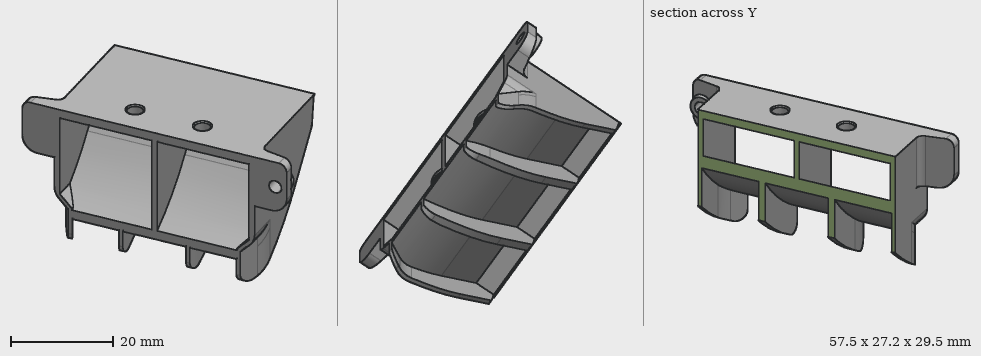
import cadquery as cq
import math


half_width = 21.75
wall = 1.2
roof = 1.9
floor_thickness = 1.8
total_height = 29.45
mouth_bottom = 22.1
inner_half_width = half_width - wall

roof_length = 27.2
lip_height = 0.4
lip_overhang = 0.45
back_corner_y = 25.95
back_corner_depth = 6.6
slope_angle = math.radians(51.5)
bowl_radius = 51.2
bowl_y = -21.6
bowl_z = 15.75
foot_radius = 1.9

floor_radius = math.hypot(bowl_y, mouth_bottom + bowl_z)
underside_radius = floor_radius + floor_thickness

corner_depth = 17.7
corner_radius = 3.45
corner_angle = math.radians(45)
skirt_start = 6.8
skirt_radius = 6.5
skirt_angle = math.radians(32)
skirt_thickness = 0.9
mouth_chamfer = 2.65
mouth_chamfer_depth = 19.1

rib_inner = 6.85
rib_front_width = 0.85
rib_width = 1.55
rib_taper_length = 5.2

ear_reach = 28.7
ear_height = 11.1
ear_tip_thickness = 2.1
ear_root_thickness = 3.5
ear_root_fillet = 1.5
ear_top_radius = 1.7
ear_bottom_radius = 3.35
ear_hole_diameter = 2.7
ear_hole_x = 26.2
ear_hole_depth = 5.6
ear_boss_top_radius = 2.35
ear_boss_base_radius = 2.6

roof_hole_diameter = 3.3
roof_hole_chamfer = 0.3
roof_hole_x = 7.3
roof_hole_y = 6.5
roof_boss_height = 1.25
roof_boss_top_radius = 3.6
roof_boss_bottom_radius = 3.45

margin = 5.75


def mirrored(solid):
    return solid.union(solid.mirror("YZ"))


def bowl_point(radius, angle):
    """Point (Y, Z) on a bowl arc; the angle is the slope of the arc there."""
    return (bowl_y + radius * math.sin(angle), bowl_z - radius * math.cos(angle))


def bowl_angle(radius, y):
    return math.asin((y - bowl_y) / radius)


def along_slope(start, y):
    """Point at the given Y on the straight slope leaving the bowl arc at start."""
    return (y, start[1] + (y - start[0]) * math.tan(slope_angle))


def draw_bowl(sketch, radius):
    """Draw a bowl arc from the front face to the straight slope."""
    front_angle = bowl_angle(radius, 0)
    middle = bowl_point(radius, (front_angle + slope_angle) / 2)
    return (
        sketch.lineTo(*bowl_point(radius, front_angle))
        .threePointArc(middle, bowl_point(radius, slope_angle))
    )


def side_outline():
    """Full-width solid with the outer side outline."""
    return (
        draw_bowl(cq.Workplane("YZ").moveTo(0, 0), bowl_radius)
        .lineTo(back_corner_y, -back_corner_depth)
        .lineTo(roof_length - lip_overhang, -lip_height)
        .lineTo(roof_length, 0)
        .close()
        .extrude(half_width, both=True)
        .edges("|X and <Z")
        .fillet(foot_radius)
    )


def above_bowl(radius):
    """Everything in front of and above a bowl surface."""
    end = bowl_point(radius, slope_angle)
    top = along_slope(end, roof_length)
    return (
        draw_bowl(cq.Workplane("YZ").moveTo(0, margin), radius)
        .lineTo(*top)
        .lineTo(roof_length, margin)
        .close()
        .extrude(half_width, both=True)
    )


def turned_in(sketch, x, start, end, radius, angle):
    """Run a sketch down from start to end, turning in from X by an arc and a straight."""
    def arc_point(turn):
        return (x - radius * (1 - math.cos(turn)), start - radius * math.sin(turn))

    arc_x, arc_end = arc_point(angle)
    return (
        sketch.lineTo(x, start)
        .threePointArc(arc_point(angle / 2), (arc_x, arc_end))
        .lineTo(arc_x - (arc_end - end) * math.tan(angle), end)
    )


def tray_section():
    """Housing cross-section with turned-in lower corners, run along Y."""
    bottom = -mouth_bottom - floor_thickness
    half = turned_in(
        cq.Workplane("XZ").lineTo(half_width, 0),
        half_width, -corner_depth, bottom, corner_radius, corner_angle,
    )
    return mirrored(half.lineTo(0, bottom).close().extrude(-roof_length))


def skirt_plan(x):
    """Solid between side faces at -x and +x that turn in towards the front."""
    half = turned_in(
        cq.Workplane("XY").moveTo(0, roof_length).lineTo(x, roof_length),
        x, skirt_start, 0, skirt_radius, skirt_angle,
    )
    return mirrored(half.lineTo(0, 0).close().extrude(-total_height - margin))


def ribs():
    """Two upright ribs whose outer face bows in to a thinner front edge."""
    outer = rib_inner + rib_width
    taper_middle = rib_width - (rib_width - rib_front_width) / 4
    plan = (
        cq.Workplane("XY")
        .moveTo(rib_inner, 0)
        .lineTo(rib_inner + rib_front_width, 0)
        .threePointArc((rib_inner + taper_middle, rib_taper_length / 2), (outer, rib_taper_length))
        .lineTo(outer, roof_length)
        .lineTo(rib_inner, roof_length)
        .close()
    )
    return mirrored(plan.extrude(-total_height - margin))


def cavities():
    """The two chambers, closed at the bottom by the curved floor."""
    inner_x = wall / 2
    half = (
        cq.Workplane("XZ")
        .moveTo(inner_x, -roof)
        .lineTo(inner_half_width, -roof)
        .lineTo(inner_half_width, -mouth_chamfer_depth)
        .lineTo(inner_half_width - mouth_chamfer, -mouth_chamfer_depth - mouth_chamfer)
        .lineTo(inner_half_width - mouth_chamfer, -mouth_bottom)
        .lineTo(inner_x, -mouth_bottom)
        .close()
        .extrude(-roof_length)
    )
    return mirrored(half).intersect(above_bowl(floor_radius))


def ears():
    """Tapered mounting ears, filleted into the side walls."""
    root_x = half_width - wall
    root_y = ear_root_thickness + 2 * ear_root_fillet
    ear = (
        cq.Workplane("XY")
        .moveTo(root_x, 0)
        .lineTo(ear_reach, 0)
        .lineTo(ear_reach, ear_tip_thickness)
        .lineTo(half_width, ear_root_thickness)
        .lineTo(half_width, root_y)
        .lineTo(root_x, root_y)
        .close()
        .extrude(-ear_height)
    )
    nearest = cq.selectors.NearestToPointSelector
    ear = ear.edges(nearest((half_width, ear_root_thickness, -ear_height / 2))).fillet(ear_root_fillet)
    ear = ear.edges(nearest((ear_reach, ear_tip_thickness / 2, 0))).fillet(ear_top_radius)
    ear = ear.edges(nearest((ear_reach, ear_tip_thickness / 2, -ear_height))).fillet(ear_bottom_radius)
    return mirrored(ear)


def cone(plane, center, radius, end_radius, length):
    return (
        cq.Workplane(plane, origin=center)
        .circle(radius)
        .workplane(offset=length)
        .circle(end_radius)
        .loft()
    )


def ear_boss():
    """Boss behind the right-hand ear."""
    base_y = ear_tip_thickness
    return cone(
        "XZ", (ear_hole_x, base_y, -ear_hole_depth),
        ear_boss_base_radius, ear_boss_top_radius, base_y - ear_root_thickness,
    )


def ear_hole():
    return (
        cq.Workplane("XZ", origin=(ear_hole_x, 0, -ear_hole_depth))
        .circle(ear_hole_diameter / 2)
        .extrude(-ear_root_thickness)
    )


def roof_boss(x):
    return cone(
        "XY", (x, roof_hole_y, -roof),
        roof_boss_top_radius, roof_boss_bottom_radius, -roof_boss_height,
    )


def roof_hole(x):
    """Through hole in the roof and its boss, chamfered at the top."""
    radius = roof_hole_diameter / 2
    hole = cq.Workplane("XY", origin=(x, roof_hole_y, 0)).circle(radius)
    rim = cone("XY", (x, roof_hole_y, 0), radius + roof_hole_chamfer, radius, -roof_hole_chamfer)
    return hole.extrude(-roof - roof_boss_height).union(rim)


upper = tray_section().union(skirt_plan(half_width)).intersect(above_bowl(underside_radius))
roof_plate = cq.Workplane("XY").box(
    2 * half_width, roof_length, roof, centered=(True, False, False)
).translate((0, 0, -roof))

skirts = skirt_plan(half_width).cut(skirt_plan(half_width - skirt_thickness))

body = upper.union(roof_plate).union(skirts).union(ribs())
body = body.intersect(side_outline())
body = body.union(ears()).cut(cavities()).union(ear_boss())
for x in (-roof_hole_x, roof_hole_x):
    body = body.union(roof_boss(x)).cut(roof_hole(x))

result = body.cut(ear_hole()).solids()